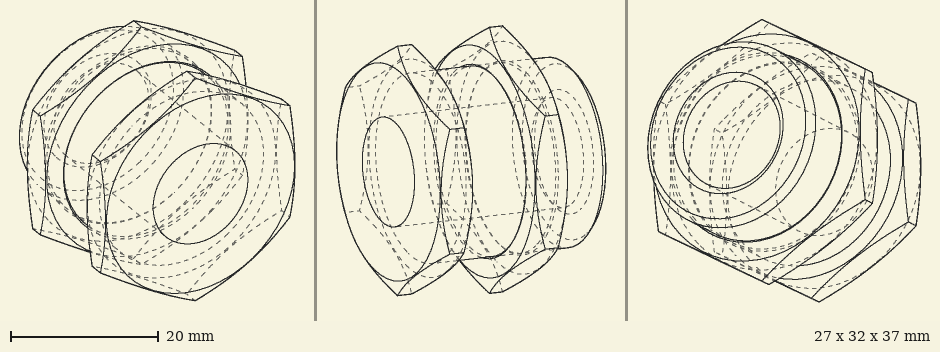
import cadquery as cq
import math

TOTAL_LENGTH = 27.0
THREAD_DIAMETER = 26.0
BORE_DIAMETER = 15.0
EDGE_CHAMFER = 1.0

HEX_THICKNESS = 5.0
CROWN_ANGLE = 30
HEAD_FLATS = 30.0
HEAD_CROWN_DIAMETER = 29.8

NUT_START = 7.98
NUT_FLATS = 32.0
NUT_CROWN_DIAMETER = 31.78
NUT_MOUTH_DIAMETER = 26.53


def cylinder(start, diameter, length):
    return cq.Workplane("YZ", origin=(start, 0, 0)).circle(diameter / 2).extrude(length)


def crowned_hexagon(start, flats, crown_diameter):
    """Hexagon with corners on +Z and -Z, its corners turned to a cone at both faces."""
    corner_diameter = flats / math.cos(math.pi / 6)
    prism = (
        cq.Workplane("YZ", origin=(start, 0, 0))
        .transformed(rotate=(0, 0, 90))
        .polygon(6, corner_diameter)
        .extrude(HEX_THICKNESS)
    )
    face_radius = crown_diameter / 2
    corner_radius = corner_diameter / 2
    crown_depth = (corner_radius - face_radius) * math.tan(math.radians(CROWN_ANGLE))
    end = start + HEX_THICKNESS
    envelope = (
        cq.Workplane("XY")
        .polyline([
            (start, 0),
            (start, face_radius),
            (start + crown_depth, corner_radius),
            (end - crown_depth, corner_radius),
            (end, face_radius),
            (end, 0),
        ])
        .close()
        .revolve(360, (0, 0, 0), (1, 0, 0))
    )
    return prism.intersect(envelope)


def make_body():
    shank = cylinder(0, THREAD_DIAMETER, TOTAL_LENGTH - HEX_THICKNESS)
    shank = shank.faces("<X").chamfer(EDGE_CHAMFER)
    head = crowned_hexagon(TOTAL_LENGTH - HEX_THICKNESS, HEAD_FLATS, HEAD_CROWN_DIAMETER)
    bore = cylinder(0, BORE_DIAMETER, TOTAL_LENGTH)
    drilled = shank.union(head).cut(bore)
    mouth_edge = drilled.faces("<X").edges(cq.selectors.RadiusNthSelector(0))
    return mouth_edge.chamfer(EDGE_CHAMFER)


def make_locknut():
    countersink = (NUT_MOUTH_DIAMETER - THREAD_DIAMETER) / 2
    blank = crowned_hexagon(NUT_START, NUT_FLATS, NUT_CROWN_DIAMETER)
    nut = blank.cut(cylinder(NUT_START, THREAD_DIAMETER, HEX_THICKNESS))
    bore_edges = nut.faces("<X or >X").edges(cq.selectors.RadiusNthSelector(0))
    return bore_edges.chamfer(countersink)


body = make_body()
locknut = make_locknut()
result = cq.Compound.makeCompound([body.val(), locknut.val()])